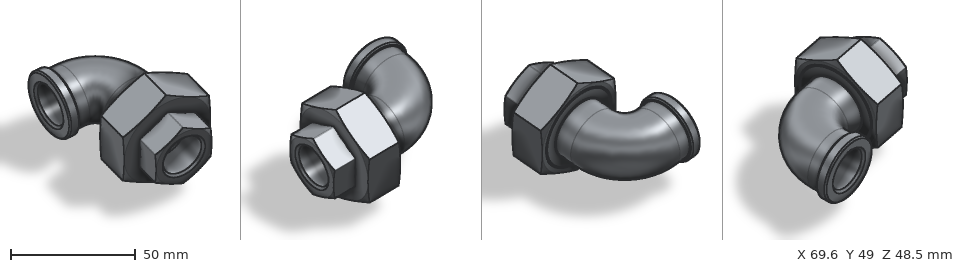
import cadquery as cq
import math

total_length = 69.6
bend_radius = 17.5
inlet_reach = 28.015

collar_diameter = 30.1
collar_width = 5.0
collar_chamfer = 0.7

pipe_diameter = 27.0
cavity_diameter = 22.0
bore_diameter = 18.6
bore_depth = 13.0
countersink_diameter = 20.75

nut_across_flats = 42.0
nut_start = 40.9
nut_end = 57.9
nut_bevel_angle = 15.0

seat_diameter = 36.9
seat_chamfer = 0.35
groove_diameter = 37.65
groove_depth = 0.7
pipe_flare = 0.35

end_hex_across_flats = 27.1
end_hex_edge_fillet = 0.3
end_hex_start = 58.2
end_hex_bevel_angle = 17.0
neck_diameter = 26.7

inlet_axis_x = collar_diameter / 2
bend_end_x = inlet_axis_x + bend_radius
outlet_bore_end_x = total_length - bore_depth

x_axis = cq.Vector(1, 0, 0)
y_axis = cq.Vector(0, 1, 0)
inlet_face_center = cq.Vector(inlet_axis_x, -inlet_reach, 0)
outlet_face_center = cq.Vector(total_length, 0, 0)


def cylinder_x(diameter, start, end):
    """Cylinder on the outlet axis between two X positions."""
    return cq.Workplane("YZ", origin=(start, 0, 0)).circle(diameter / 2).extrude(end - start)


def cylinder_y(diameter, length):
    """Cylinder on the inlet axis, reaching inward from the inlet face."""
    return cq.Workplane("XZ", origin=inlet_face_center.toTuple()).circle(diameter / 2).extrude(-length)


def cone(base_diameter, tip_diameter, height, base_center, direction):
    """Truncated cone rising from base_center along direction."""
    solid = cq.Solid.makeCone(base_diameter / 2, tip_diameter / 2, height, base_center, direction)
    return cq.Workplane(solid)


def hexagon_x(across_flats, start, end):
    """Hexagonal bar on the outlet axis with corners at +Z and -Z."""
    corner_diameter = across_flats / math.cos(math.radians(30))
    section = cq.Workplane("YZ", origin=(start, 0, 0)).transformed(rotate=(0, 0, 90))
    return section.polygon(6, corner_diameter).extrude(end - start)


def bevel_cone(across_flats, face_x, depth, angle, direction):
    """Cone that bevels hexagon corners; it touches the flats at face_x and widens along direction."""
    wide_diameter = across_flats + 2 * depth / math.tan(math.radians(angle))
    return cone(across_flats, wide_diameter, depth, cq.Vector(face_x, 0, 0), direction)


def elbow(diameter, end_x):
    """Round bar along the elbow centre line, from the inlet face to end_x on the outlet axis."""
    bend_middle_x = bend_end_x - bend_radius * math.sqrt(0.5)
    bend_middle_y = bend_radius * (math.sqrt(0.5) - 1)
    center_line = (
        cq.Workplane("XY")
        .moveTo(inlet_axis_x, -inlet_reach)
        .lineTo(inlet_axis_x, -bend_radius)
        .threePointArc((bend_middle_x, bend_middle_y), (bend_end_x, 0))
        .lineTo(end_x, 0)
    )
    section = cq.Workplane("XZ", origin=inlet_face_center.toTuple()).circle(diameter / 2)
    return section.sweep(center_line)


def inlet_collar():
    return cylinder_y(collar_diameter, collar_width).edges().chamfer(collar_chamfer)


def union_nut():
    nut_length = nut_end - nut_start
    nut = hexagon_x(nut_across_flats, nut_start, nut_end)
    nut = nut.intersect(bevel_cone(nut_across_flats, nut_start, nut_length, nut_bevel_angle, x_axis))
    nut = nut.intersect(bevel_cone(nut_across_flats, nut_end, nut_length, nut_bevel_angle, -x_axis))
    recess = cylinder_x(groove_diameter, nut_start, nut_start + groove_depth)
    seat = cylinder_x(seat_diameter, nut_start, nut_start + groove_depth)
    seat = seat.faces("<X").edges().chamfer(seat_chamfer)
    return nut.cut(recess).union(seat)


def pipe_root_flare():
    flare_base = cq.Vector(nut_start, 0, 0)
    return cone(pipe_diameter + 2 * pipe_flare, pipe_diameter, pipe_flare, flare_base, -x_axis)


def outlet_hexagon():
    hex_length = total_length - end_hex_start
    bar = hexagon_x(end_hex_across_flats, end_hex_start, total_length)
    bar = bar.edges("|X").fillet(end_hex_edge_fillet)
    bar = bar.intersect(
        bevel_cone(end_hex_across_flats, total_length, hex_length, end_hex_bevel_angle, -x_axis)
    )
    return bar.union(cylinder_x(neck_diameter, nut_end, end_hex_start))


def bend_cavity():
    """Wide passage between the flat inner ends of the inlet and outlet bores."""
    passage = elbow(cavity_diameter, outlet_bore_end_x)
    return passage.cut(cylinder_y(pipe_diameter, bore_depth))


def countersink(face_center, inward):
    depth = (countersink_diameter - bore_diameter) / 2
    return cone(countersink_diameter, bore_diameter, depth, face_center, inward)


body = elbow(pipe_diameter, nut_end)
for feature in (inlet_collar(), union_nut(), pipe_root_flare(), outlet_hexagon()):
    body = body.union(feature)

openings = (
    bend_cavity(),
    cylinder_y(bore_diameter, bore_depth),
    cylinder_x(bore_diameter, outlet_bore_end_x, total_length),
    countersink(inlet_face_center, y_axis),
    countersink(outlet_face_center, -x_axis),
)
for opening in openings:
    body = body.cut(opening)

result = body